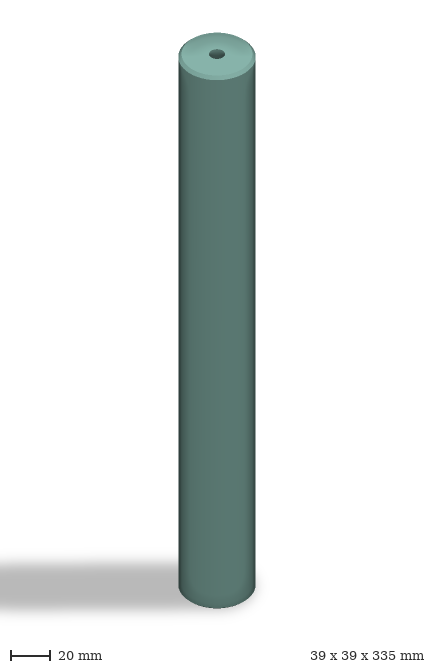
import cadquery as cq

LENGTH = 335.0
OUTER_DIAMETER = 39.0
BORE_DIAMETER = 8.0
TOP_CHAMFER = 1.7
BOTTOM_CHAMFER = 1.0


def make_bar():
    """Round bar with chamfered ends and an axial through bore."""
    bar = cq.Workplane("XY").circle(OUTER_DIAMETER / 2).extrude(LENGTH)
    bar = bar.faces(">Z").edges().chamfer(TOP_CHAMFER)
    bar = bar.faces("<Z").edges().chamfer(BOTTOM_CHAMFER)
    bore = cq.Workplane("XY").circle(BORE_DIAMETER / 2).extrude(LENGTH)
    return bar.cut(bore)


bar = make_bar()

result = cq.Compound.makeCompound([bar.val()])